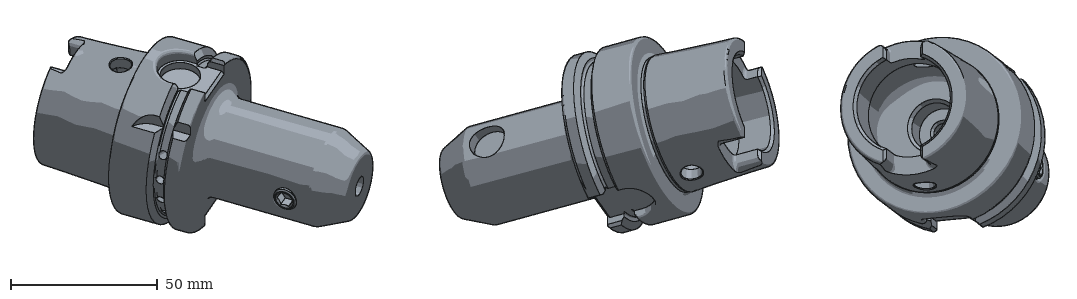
import cadquery as cq
import math


TOTAL_LENGTH = 112.0
TINY = 0.01
OVERCUT = 5.6

TAPER_END_R = 22.7
TAPER_BASE_R = 24.2
TAPER_LENGTH = 29.7
TAPER_EDGE = 1.0
NECK_START = 30.4
NECK_END = 31.4
NECK_R = 23.9
NECK_SHOULDER_X = 31.8
NECK_SHOULDER_R = 24.9
NECK_FOOT_R = 25.4

FLANGE_START = 31.9
FLANGE_END = 57.9
FLANGE_R = 31.5
FLANGE_EDGE = 1.0

GROOVE_X = 49.7
GROOVE_R = 27.3
GROOVE_WIDTH = 3.8
GROOVE_FLARE_R = 28.9
GROOVE_FLARE_ANGLE = 30.0
GROOVE_CORNER = 0.6

SHANK_R = 17.5
SHANK_FILLET = 4.9
NOSE_LENGTH = 11.2
NOSE_ANGLE = 25.0
NOSE_BLEND = 2.2
NOSE_EDGE = 2.0

BORE_R = 16.9
BORE_DEPTH = 32.0
CHAMBER_START = 12.8
CHAMBER_R = 19.5
CHAMBER_FILLET = 3.8
TUBE_BORE_R = 8.4
TUBE_BORE_DEPTH = 9.0
TUBE_BORE_CHAMFER = 1.1
PASSAGE_R = 3.5
PASSAGE_CHAMFER = 0.9

DRIVE_SLOT_HALF_WIDTH = 6.2
DRIVE_SLOT_DEPTHS = {1: 5.8, -1: 9.7}
DRIVE_SLOT_LIP = 2.7
DRIVE_SLOT_CORNER = 1.2
DRIVE_SLOT_BASE_Z = 9.0

CROSS_HOLE_X = 22.8
CROSS_HOLE_R = 3.7
CROSS_HOLE_CHAMFER = 0.3

KEYWAY_X = 45.0
KEYWAY_HALF_WIDTH = 8.0
KEYWAY_FLOOR_Z = 26.4
KEYWAY_LIP = 1.2
KEYWAY_CHAMFER = 1.0
KEYWAY_RECESS_R = 7.0
KEYWAY_RECESS_DEPTH = 2.8

NOTCH_X = 44.8
NOTCH_WALL_Y = -20.3
NOTCH_FLOOR_Z = 19.9
NOTCH_END_R = 8.0

GROOVE_HOLE_R = 1.6
GROOVE_HOLE_DEPTH = 15.7
GROOVE_HOLE_ANGLES = [-35, -15, 5, 25]

SCREW_X = 91.6
SCREW_R = 4.3
SCREW_HEAD_Y = -17.2
SCREW_TIP_Y = -5.0
SCREW_CHAMFER = 0.6
SCREW_HOLE_LIP = 1.2
SOCKET_FLATS = 5.0
SOCKET_DEPTH = 4.0
SOCKET_MOUTH_R = 3.2
SOCKET_MOUTH_DEPTH = 0.9
SOCKET_MOUTH_ANGLE = 45.0

BACK_RECESS_R = 6.5
BACK_RECESS_DEPTH = 4.5


def circle_edges(body, x, radius):
    """Edges of the body that are circles of this radius about the axis at this X."""
    return body.edges().filter(
        lambda e: e.geomType() == "CIRCLE"
        and abs(e.Center().x - x) < TINY
        and abs(e.radius() - radius) < TINY
    )


def revolve_about_axis(points):
    """Solid of revolution about X from (X, radius) points."""
    return cq.Workplane("XY").polyline(points).close().revolve(360, (0, 0, 0), (1, 0, 0))


def outer_body():
    """Taper, flange and shank without the cut features."""
    nose_start = TOTAL_LENGTH - NOSE_LENGTH
    nose_end_r = SHANK_R - NOSE_LENGTH * math.tan(math.radians(NOSE_ANGLE))
    body = revolve_about_axis([
        (0, 0),
        (0, TAPER_END_R),
        (TAPER_LENGTH, TAPER_BASE_R),
        (NECK_START, NECK_R),
        (NECK_END, NECK_R),
        (NECK_SHOULDER_X, NECK_SHOULDER_R),
        (FLANGE_START, NECK_FOOT_R),
        (FLANGE_START, FLANGE_R),
        (FLANGE_END, FLANGE_R),
        (FLANGE_END, SHANK_R),
        (nose_start, SHANK_R),
        (TOTAL_LENGTH, nose_end_r),
        (TOTAL_LENGTH, 0),
    ])
    body = circle_edges(body, 0, TAPER_END_R).fillet(TAPER_EDGE)
    body = circle_edges(body, FLANGE_START, FLANGE_R).fillet(FLANGE_EDGE)
    body = circle_edges(body, FLANGE_END, FLANGE_R).fillet(FLANGE_EDGE)
    body = circle_edges(body, FLANGE_END, SHANK_R).fillet(SHANK_FILLET)
    body = circle_edges(body, nose_start, SHANK_R).fillet(NOSE_BLEND)
    return circle_edges(body, TOTAL_LENGTH, nose_end_r).fillet(NOSE_EDGE)


def gripper_groove():
    """Ring-shaped cutter with straight walls that flare out at the rim."""
    half = GROOVE_WIDTH / 2
    rim_r = FLANGE_R + OVERCUT
    flare = (rim_r - GROOVE_FLARE_R) * math.tan(math.radians(GROOVE_FLARE_ANGLE))
    ring = revolve_about_axis([
        (GROOVE_X - half, GROOVE_R),
        (GROOVE_X - half, GROOVE_FLARE_R),
        (GROOVE_X - half - flare, rim_r),
        (GROOVE_X + half + flare, rim_r),
        (GROOVE_X + half, GROOVE_FLARE_R),
        (GROOVE_X + half, GROOVE_R),
    ])
    for x in (GROOVE_X - half, GROOVE_X + half):
        ring = circle_edges(ring, x, GROOVE_R).fillet(GROOVE_CORNER)
    return ring


def stepped_bore():
    bore = revolve_about_axis([
        (0, 0),
        (0, BORE_R + TAPER_EDGE),
        (TAPER_EDGE, BORE_R),
        (CHAMBER_START, BORE_R),
        (CHAMBER_START, CHAMBER_R),
        (BORE_DEPTH, CHAMBER_R),
        (BORE_DEPTH, 0),
    ])
    bore = circle_edges(bore, BORE_DEPTH, CHAMBER_R).fillet(CHAMBER_FILLET)
    tube_end = BORE_DEPTH + TUBE_BORE_DEPTH
    tube_and_passage = revolve_about_axis([
        (0, 0),
        (0, TUBE_BORE_R + TUBE_BORE_CHAMFER),
        (BORE_DEPTH, TUBE_BORE_R + TUBE_BORE_CHAMFER),
        (BORE_DEPTH + TUBE_BORE_CHAMFER, TUBE_BORE_R),
        (tube_end, TUBE_BORE_R),
        (tube_end, PASSAGE_R + PASSAGE_CHAMFER),
        (tube_end + PASSAGE_CHAMFER, PASSAGE_R),
        (TOTAL_LENGTH + OVERCUT, PASSAGE_R),
        (TOTAL_LENGTH + OVERCUT, 0),
    ])
    return bore.union(tube_and_passage)


def drive_slot(side):
    """Cutter for one drive slot: parallel walls that roll out onto the taper surface.

    The lip arcs run tangent to the taper's circle at the slot floor.
    """
    depth = DRIVE_SLOT_DEPTHS[side]
    lip_y = DRIVE_SLOT_HALF_WIDTH + DRIVE_SLOT_LIP
    taper_slope = (TAPER_BASE_R - TAPER_END_R) / TAPER_LENGTH
    crest_r = TAPER_END_R + taper_slope * depth
    lip_centre_r = crest_r - DRIVE_SLOT_LIP
    lip_z = math.sqrt(lip_centre_r ** 2 - lip_y ** 2)
    tilt = math.asin(lip_y / lip_centre_r)
    end_y = crest_r * math.sin(tilt)
    end_z = crest_r * math.cos(tilt)
    mid_angle = (math.pi + math.pi / 2 - tilt) / 2
    mid_y = lip_y + DRIVE_SLOT_LIP * math.cos(mid_angle)
    mid_z = lip_z + DRIVE_SLOT_LIP * math.sin(mid_angle)
    out_y = end_y + OVERCUT * math.cos(tilt)
    out_z = end_z - OVERCUT * math.sin(tilt)
    top_z = TAPER_END_R + OVERCUT
    channel = (
        cq.Workplane("YZ", origin=(-OVERCUT, 0, 0))
        .moveTo(-DRIVE_SLOT_HALF_WIDTH, DRIVE_SLOT_BASE_Z)
        .lineTo(DRIVE_SLOT_HALF_WIDTH, DRIVE_SLOT_BASE_Z)
        .lineTo(DRIVE_SLOT_HALF_WIDTH, lip_z)
        .threePointArc((mid_y, mid_z), (end_y, end_z))
        .lineTo(out_y, out_z)
        .lineTo(out_y, top_z)
        .lineTo(-out_y, top_z)
        .lineTo(-out_y, out_z)
        .lineTo(-end_y, end_z)
        .threePointArc((-mid_y, mid_z), (-DRIVE_SLOT_HALF_WIDTH, lip_z))
        .close()
        .extrude(depth + OVERCUT)
        .faces(">X").edges().fillet(DRIVE_SLOT_CORNER)
    )
    mouth_y = DRIVE_SLOT_HALF_WIDTH + TAPER_EDGE
    chamfered_mouth = (
        cq.Workplane("XY", origin=(0, 0, DRIVE_SLOT_BASE_Z))
        .polyline([
            (0, -mouth_y),
            (0, mouth_y),
            (TAPER_EDGE, DRIVE_SLOT_HALF_WIDTH),
            (TAPER_EDGE, -DRIVE_SLOT_HALF_WIDTH),
        ])
        .close()
        .extrude(top_z - DRIVE_SLOT_BASE_Z)
    )
    slot = channel.union(chamfered_mouth)
    if side < 0:
        slot = slot.mirror("XY")
    return slot


def cut_keyway_front(body, side):
    """Round-ended keyway ahead of the gripper groove, with a rounded lip."""
    height = FLANGE_R + OVERCUT - KEYWAY_FLOOR_Z
    plane = cq.Workplane("XY", origin=(0, 0, side * KEYWAY_FLOOR_Z))
    round_end = plane.center(KEYWAY_X, 0).circle(KEYWAY_HALF_WIDTH).extrude(side * height)
    run = (
        plane.center((KEYWAY_X + GROOVE_X) / 2, 0)
        .rect(GROOVE_X - KEYWAY_X, 2 * KEYWAY_HALF_WIDTH)
        .extrude(side * height)
    )
    body = body.cut(round_end.union(run))

    def on_lip(edge):
        middle = edge.positionAt(0.5)
        on_surface = abs(math.hypot(middle.y, middle.z) - FLANGE_R) < TINY
        in_keyway = abs(middle.y) < KEYWAY_HALF_WIDTH + TINY and middle.z * side > 0
        in_front = FLANGE_START + FLANGE_EDGE + TINY < middle.x < GROOVE_X - TINY
        return on_surface and in_keyway and in_front

    return body.edges().filter(on_lip).fillet(KEYWAY_LIP)


def keyway_rear(side):
    """Cutter for the keyway behind the gripper groove, with chamfered edges."""
    rim_z = math.sqrt(FLANGE_R ** 2 - (KEYWAY_HALF_WIDTH + KEYWAY_CHAMFER) ** 2)
    chamfer_z = rim_z - KEYWAY_CHAMFER
    out_z = FLANGE_R + OVERCUT
    out_y = KEYWAY_HALF_WIDTH + out_z - chamfer_z
    channel = (
        cq.Workplane("YZ", origin=(GROOVE_X, 0, 0))
        .polyline([
            (-KEYWAY_HALF_WIDTH, KEYWAY_FLOOR_Z),
            (KEYWAY_HALF_WIDTH, KEYWAY_FLOOR_Z),
            (KEYWAY_HALF_WIDTH, chamfer_z),
            (out_y, out_z),
            (-out_y, out_z),
            (-KEYWAY_HALF_WIDTH, chamfer_z),
        ])
        .close()
        .extrude(FLANGE_END - GROOVE_X)
    )
    floor_edge = (
        cq.Workplane("XZ")
        .polyline([
            (FLANGE_END - KEYWAY_CHAMFER, KEYWAY_FLOOR_Z),
            (FLANGE_END, KEYWAY_FLOOR_Z),
            (FLANGE_END, KEYWAY_FLOOR_Z - KEYWAY_CHAMFER),
        ])
        .close()
        .extrude(KEYWAY_HALF_WIDTH, both=True)
    )
    cutter = channel.union(floor_edge)
    if side < 0:
        cutter = cutter.mirror("XY")
    return cutter


def keyway_recess():
    """Shallow round recess in the floor of the +Z keyway."""
    return (
        cq.Workplane("XY", origin=(KEYWAY_X, 0, KEYWAY_FLOOR_Z - KEYWAY_RECESS_DEPTH))
        .circle(KEYWAY_RECESS_R)
        .extrude(FLANGE_R - KEYWAY_FLOOR_Z + KEYWAY_RECESS_DEPTH)
    )


def orientation_notch():
    """Cutter for the flat-floored notch whose wall curves out at its closed end."""
    outer_y = NOTCH_WALL_Y - NOTCH_END_R
    diagonal = NOTCH_END_R * math.sqrt(0.5)
    return (
        cq.Workplane("XY", origin=(0, 0, NOTCH_FLOOR_Z))
        .moveTo(NOTCH_X - NOTCH_END_R, outer_y)
        .threePointArc((NOTCH_X - diagonal, outer_y + diagonal), (NOTCH_X, NOTCH_WALL_Y))
        .lineTo(FLANGE_END, NOTCH_WALL_Y)
        .lineTo(FLANGE_END, outer_y)
        .close()
        .extrude(FLANGE_R)
    )


def groove_hole(angle):
    """Cutter for one radial hole in the floor of the gripper groove."""
    outward = cq.Vector(0, -math.cos(math.radians(angle)), math.sin(math.radians(angle)))
    floor = cq.Vector(GROOVE_X, 0, 0) + outward * (GROOVE_R - GROOVE_HOLE_DEPTH)
    length = GROOVE_HOLE_DEPTH + GROOVE_HOLE_R
    return cq.Workplane(cq.Plane(floor, (1, 0, 0), outward)).circle(GROOVE_HOLE_R).extrude(length)


def cut_cross_hole(body):
    """Hole through both walls of the taper along Z, chamfered outside."""
    reach = TAPER_BASE_R + OVERCUT
    drill = cq.Workplane("XY").center(CROSS_HOLE_X, 0).circle(CROSS_HOLE_R).extrude(reach, both=True)
    body = body.cut(drill)

    def on_mouth(edge):
        box = edge.BoundingBox()
        full_width = abs(box.xlen - 2 * CROSS_HOLE_R) < TINY
        centred = abs(box.center.x - CROSS_HOLE_X) < TINY
        return full_width and centred and abs(box.center.z) > CHAMBER_R + CROSS_HOLE_R / 2

    return body.edges().filter(on_mouth).chamfer(CROSS_HOLE_CHAMFER)


def cut_screw_hole(body):
    """Hole from the -Y side of the shank to the axis, with a rounded mouth."""
    drill = cq.Workplane("XZ").center(SCREW_X, 0).circle(SCREW_R).extrude(SHANK_R + OVERCUT)
    body = body.cut(drill)

    def on_mouth(edge):
        middle = edge.BoundingBox().center
        return abs(middle.x - SCREW_X) < TINY and -SHANK_R < middle.y < -SHANK_R / 2

    return body.edges().filter(on_mouth).fillet(SCREW_HOLE_LIP)


def back_recess():
    """Blind round recess in the +Y side of the shank."""
    return (
        cq.Workplane("XZ", origin=(SCREW_X, SHANK_R - BACK_RECESS_DEPTH, 0))
        .circle(BACK_RECESS_R)
        .extrude(-BACK_RECESS_DEPTH - OVERCUT)
    )


def make_holder():
    holder = outer_body()
    for side in (1, -1):
        holder = cut_keyway_front(holder, side)
    holder = holder.cut(gripper_groove())
    for side in (1, -1):
        holder = holder.cut(keyway_rear(side))
    holder = holder.cut(keyway_recess()).cut(orientation_notch())
    for angle in GROOVE_HOLE_ANGLES:
        holder = holder.cut(groove_hole(angle))
    holder = cut_screw_hole(holder).cut(back_recess())
    holder = holder.cut(stepped_bore())
    for side in (1, -1):
        holder = holder.cut(drive_slot(side))
    return cut_cross_hole(holder)


def make_screw():
    """Set screw along Y with a hexagon socket in its outer end."""
    screw = (
        cq.Workplane("XZ", origin=(SCREW_X, SCREW_TIP_Y, 0))
        .circle(SCREW_R)
        .extrude(SCREW_TIP_Y - SCREW_HEAD_Y)
        .edges().chamfer(SCREW_CHAMFER)
    )
    corner_diameter = SOCKET_FLATS / math.cos(math.pi / 6)
    head = cq.Workplane("XZ", origin=(SCREW_X, SCREW_HEAD_Y, 0))
    socket = head.polygon(6, corner_diameter).extrude(-SOCKET_DEPTH)
    mouth = head.circle(SOCKET_MOUTH_R).extrude(-SOCKET_MOUTH_DEPTH, taper=SOCKET_MOUTH_ANGLE)
    return screw.cut(socket).cut(mouth)


holder = make_holder()
screw = make_screw()
result = cq.Compound.makeCompound([holder.val(), screw.val()])